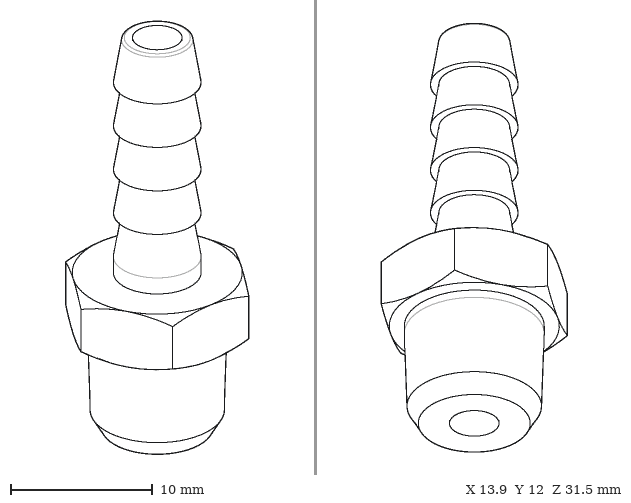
import cadquery as cq
import math

total_length = 31.5
thread_length = 8.0
hex_height = 4.5

hex_sides = 6
across_flats = 12.0
across_corners = across_flats / math.cos(math.pi / hex_sides)
hex_chamfer_angle = 30.0

collar_diameter = 9.88
collar_length = 0.6
thread_taper = 1 / 16
lead_in_length = 1.4
tip_diameter = 7.9

barb_count = 5
barb_pitch = 3.52
barb_major_diameter = 6.2
barb_minor_diameter = 5.0
neck_length = 1.3
rim_fillet = 0.2

bore_diameter = 3.5

hex_top = thread_length + hex_height
barb_start = hex_top + neck_length
collar_bottom = thread_length - collar_length
thread_end_diameter = collar_diameter - thread_taper * (collar_bottom - lead_in_length)


def make_spigot():
    """Tapered thread blank with a lead-in cone below and a short collar above."""
    return (
        cq.Workplane("XZ")
        .moveTo(0, 0)
        .lineTo(tip_diameter / 2, 0)
        .lineTo(thread_end_diameter / 2, lead_in_length)
        .lineTo(collar_diameter / 2, collar_bottom)
        .lineTo(collar_diameter / 2, thread_length)
        .lineTo(0, thread_length)
        .close()
        .revolve(360, (0, 0), (0, 1))
    )


def make_hexagon():
    """Hexagonal wrench section, its corners turned off by a cone at both ends."""
    corner_radius = across_corners / 2
    flat_radius = across_flats / 2
    chamfer_height = (corner_radius - flat_radius) * math.tan(math.radians(hex_chamfer_angle))
    prism = (
        cq.Workplane("XY")
        .workplane(offset=thread_length)
        .polygon(hex_sides, across_corners)
        .extrude(hex_height)
    )
    turned_blank = (
        cq.Workplane("XZ")
        .moveTo(0, thread_length)
        .lineTo(flat_radius, thread_length)
        .lineTo(corner_radius, thread_length + chamfer_height)
        .lineTo(corner_radius, hex_top - chamfer_height)
        .lineTo(flat_radius, hex_top)
        .lineTo(0, hex_top)
        .close()
        .revolve(360, (0, 0), (0, 1))
    )
    return prism.intersect(turned_blank)


def make_hose_tail():
    """Plain neck carrying a row of barbs, each narrowing upward, with a rounded rim."""
    major_radius = barb_major_diameter / 2
    minor_radius = barb_minor_diameter / 2
    profile = cq.Workplane("XZ").moveTo(0, hex_top).lineTo(major_radius, hex_top)
    profile = profile.lineTo(major_radius, barb_start)
    for index in range(1, barb_count):
        barb_end = barb_start + index * barb_pitch
        profile = profile.lineTo(minor_radius, barb_end).lineTo(major_radius, barb_end)
    tail = (
        profile.lineTo(minor_radius, total_length)
        .lineTo(0, total_length)
        .close()
        .revolve(360, (0, 0), (0, 1))
    )
    return tail.faces(">Z").edges().fillet(rim_fillet)


def make_bore():
    """Straight passage through the whole fitting."""
    return cq.Workplane("XY").circle(bore_diameter / 2).extrude(total_length)


result = make_spigot().union(make_hexagon()).union(make_hose_tail()).cut(make_bore())